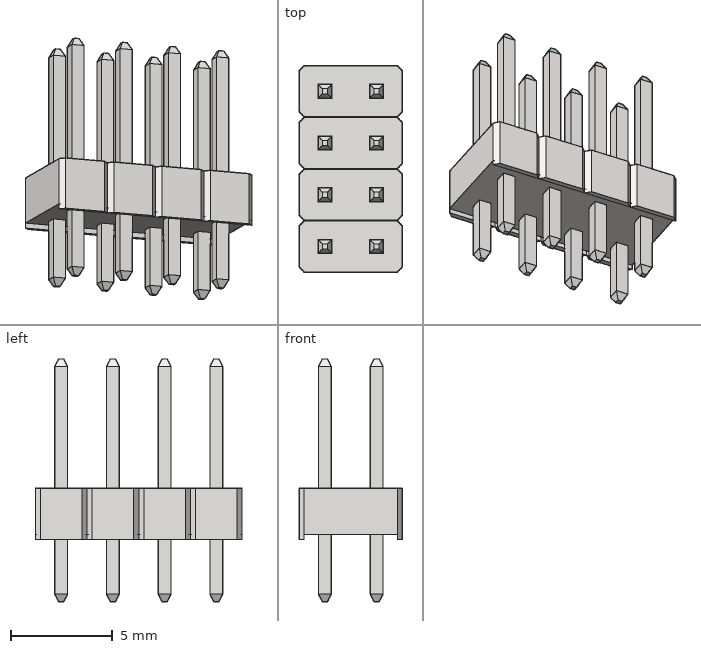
import cadquery as cq

housing_length = 10.16
columns = 2
rows = 4
pitch = housing_length / rows
housing_width = columns * pitch
block_height = 2.54
corner_chamfer = 0.25
channel_depth = 0.25
top_bevel = 0.025

pin_width = 0.65
pin_length = 11.94
pin_tail = 3.06
tip_height = 0.38
tip_width = 0.25


def centred_positions(count):
    """Coordinates of `count` items one pitch apart, centred on zero."""
    return [(i - (count - 1) / 2) * pitch for i in range(count)]


def square_frustum(bottom_z, bottom_width, top_width, height):
    """Square column whose width changes evenly from bottom to top."""
    return (
        cq.Workplane("XY", origin=(0, 0, bottom_z))
        .rect(bottom_width, bottom_width)
        .workplane(offset=height)
        .rect(top_width, top_width)
        .loft()
    )


def make_block():
    """One housing block, with its top edges and pin hole rims bevelled."""
    block = cq.Workplane("XY").box(
        housing_width, pitch, block_height, centered=(True, True, False)
    )
    block = block.edges("|Z").chamfer(corner_chamfer)
    block = block.faces(">Z").edges().chamfer(top_bevel)
    rim = square_frustum(
        block_height - top_bevel, pin_width, pin_width + 2 * top_bevel, top_bevel
    )
    for x in centred_positions(columns):
        block = block.cut(rim.translate((x, 0, 0)))
    return block


def make_housing():
    """All blocks in a row, with a shallow channel along the underside."""
    block = make_block()
    housing = cq.Workplane("XY")
    for y in centred_positions(rows):
        housing = housing.union(block.translate((0, y, 0)))
    channel = cq.Workplane("XY").box(
        housing_width - 2 * corner_chamfer,
        housing_length,
        channel_depth,
        centered=(True, True, False),
    )
    return housing.cut(channel)


def make_pin():
    """A straight square pin standing through the housing."""
    shaft_bottom = tip_height - pin_tail
    shaft_length = pin_length - 2 * tip_height
    shaft = square_frustum(shaft_bottom, pin_width, pin_width, shaft_length)
    lower_tip = square_frustum(-pin_tail, tip_width, pin_width, tip_height)
    upper_tip = square_frustum(
        shaft_bottom + shaft_length, pin_width, tip_width, tip_height
    )
    return shaft.union(lower_tip).union(upper_tip)


result = make_housing()
pin = make_pin()
for x in centred_positions(columns):
    for y in centred_positions(rows):
        result = result.union(pin.translate((x, y, 0)))